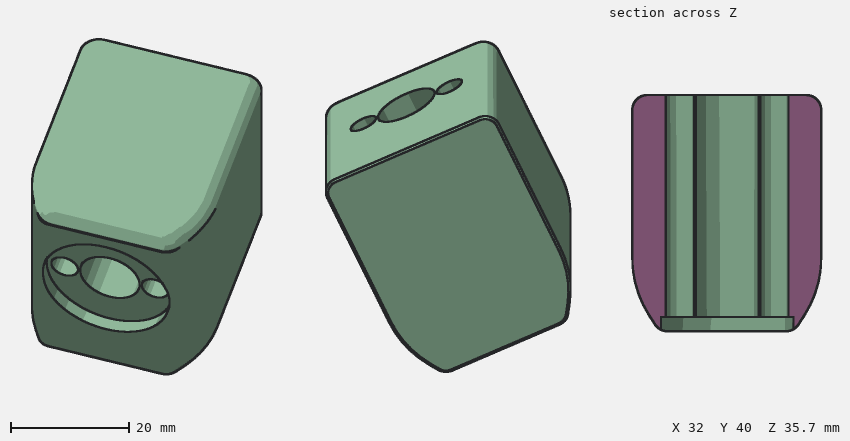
import cadquery as cq
import math

width = 32.0
length = 40.0
height = 35.7
nose_width = 22.8
nose_taper = 7.2
shoulder_radius = 18.0
corner_radius = 2.55
bottom_chamfer = 0.4

bevel = 1.9
bevel_top_radius = 4.25
bevel_foot_radius = 0.4
nose_ledge = 0.15
crown_overhang = 1.05
flat_shoulder_radius = 10.8

bore_x = 0.1
bore_z = 20.1
recess_diameter = 22.4
recess_depth = 2.4
main_bore_diameter = 10.5
side_bore_diameter = 4.7
side_bore_offset = 8.0

half_blend = math.radians(45 / 2)
top_tangent = bevel_top_radius * math.tan(half_blend)
foot_tangent = bevel_foot_radius * math.tan(half_blend)
rim_width = bevel + top_tangent
rim_height = bevel + foot_tangent
rim_base = height - rim_height


def tapered_outline(half_width, half_nose, front, shoulder, back):
    """Corners of an outline, symmetric in X, that narrows from the shoulder to the front."""
    return [
        (-half_width, back),
        (half_width, back),
        (half_width, shoulder),
        (half_nose, front),
        (-half_nose, front),
        (-half_width, shoulder),
    ]


def fillet_uprights(solid, corners, radius):
    """Round the vertical edges that stand on the given outline corners."""
    tolerance = 0.005

    def on_corner(edge):
        center = edge.Center()
        return any(math.dist((center.x, center.y), corner) < tolerance for corner in corners)

    return solid.edges("|Z").filter(on_corner).fillet(radius)


def make_block():
    """Full-height body with rounded upright edges and a chamfered bottom."""
    nose_y = -length / 2
    outline = tapered_outline(width / 2, nose_width / 2, nose_y, nose_y + nose_taper, length / 2)
    back_left, back_right, shoulder_right, nose_right, nose_left, shoulder_left = outline
    block = cq.Workplane("XY").polyline(outline).close().extrude(height)
    block = fillet_uprights(block, [shoulder_left, shoulder_right], shoulder_radius)
    block = fillet_uprights(block, [back_left, back_right, nose_left, nose_right], corner_radius)
    return block.faces("<Z").edges().chamfer(bottom_chamfer)


def make_flat():
    """Inner core of the crown: the block outline moved inward by the rim width."""
    taper_angle = math.atan2((width - nose_width) / 2, nose_taper)
    half_width = width / 2 - rim_width
    nose_inset = nose_ledge + rim_width
    front = nose_inset - length / 2
    back = length / 2 + crown_overhang - rim_width
    half_nose = (
        nose_width / 2
        + nose_inset * math.tan(taper_angle)
        - rim_width / math.cos(taper_angle)
    )
    shoulder = front + (half_width - half_nose) / math.tan(taper_angle)
    outline = tapered_outline(half_width, half_nose, front, shoulder, back)
    flat = cq.Workplane("XY", origin=(0, 0, rim_base)).polyline(outline).close().extrude(rim_height)
    return fillet_uprights(flat, [outline[2], outline[5]], flat_shoulder_radius)


def make_rim(flat):
    """Rounded bevel swept around the flat, turning about its sharp corners."""
    inner = flat.faces(">Y").val().Center().y
    outer = inner + rim_width
    top_arc_middle = (
        inner + bevel_top_radius * math.sin(half_blend),
        height - bevel_top_radius * (1 - math.cos(half_blend)),
    )
    top_arc_end = (
        outer - bevel + top_tangent * math.sqrt(0.5),
        height - top_tangent * math.sqrt(0.5),
    )
    foot_arc_start = (
        outer - foot_tangent * math.sqrt(0.5),
        height - bevel + foot_tangent * math.sqrt(0.5),
    )
    foot_arc_middle = (
        outer - bevel_foot_radius * (1 - math.cos(half_blend)),
        rim_base + bevel_foot_radius * math.sin(half_blend),
    )
    path = cq.Workplane(flat.faces(">Z").wires().val())
    return (
        cq.Workplane("YZ")
        .moveTo(inner, rim_base)
        .lineTo(inner, height)
        .threePointArc(top_arc_middle, top_arc_end)
        .lineTo(*foot_arc_start)
        .threePointArc(foot_arc_middle, (outer, rim_base))
        .close()
        .sweep(path, transition="round")
    )


def bore(x, diameter, depth):
    """Cylinder running in +Y from the nose face."""
    start = cq.Vector(x, -length / 2, bore_z)
    return cq.Workplane(cq.Solid.makeCylinder(diameter / 2, depth, start, cq.Vector(0, 1, 0)))


block = make_block()
flat = make_flat()
crown = flat.union(make_rim(flat))
top_band = cq.Workplane("XY", origin=(0, 0, rim_base)).rect(width, length).extrude(rim_height)
result = block.cut(top_band).union(block.intersect(crown))

result = result.cut(bore(bore_x, recess_diameter, recess_depth))
result = result.cut(bore(bore_x, main_bore_diameter, length))
for side in (-1, 1):
    result = result.cut(bore(bore_x + side * side_bore_offset, side_bore_diameter, length))